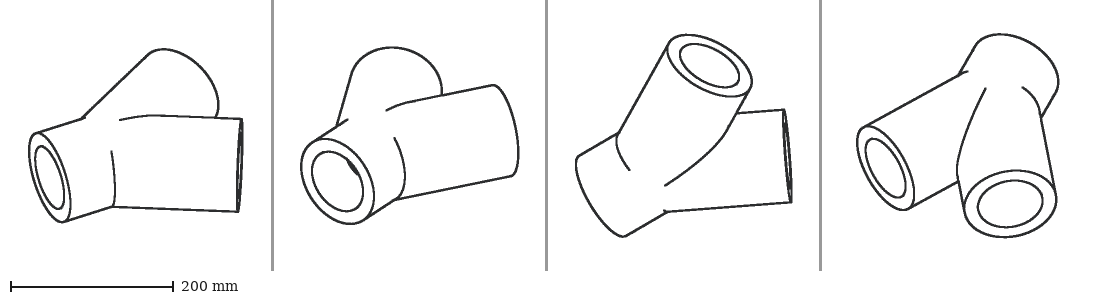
import cadquery as cq
import math

OUTER_DIAMETER = 114.3
BORE_DIAMETER = 80.06
STEM_LENGTH = 76.2
BRANCH_LENGTH = 165.1
BRANCH_ANGLE = 30.0

JUNCTION = cq.Vector(0, 0, 0)


def axis_direction(angle):
    """Unit vector in the XY plane, turned from +Y toward +X by angle degrees."""
    turn = math.radians(angle)
    return cq.Vector(math.sin(turn), math.cos(turn), 0)


LEGS = [
    (axis_direction(180), STEM_LENGTH),
    (axis_direction(-BRANCH_ANGLE), BRANCH_LENGTH),
    (axis_direction(BRANCH_ANGLE), BRANCH_LENGTH),
]


def joined_legs(diameter):
    """Solid union of a round bar of the given diameter along every leg."""
    body = cq.Workplane("XY")
    for direction, length in LEGS:
        bar = cq.Solid.makeCylinder(diameter / 2, length, JUNCTION, direction)
        body = body.union(cq.Workplane(bar))
    return body


result = joined_legs(OUTER_DIAMETER).cut(joined_legs(BORE_DIAMETER))